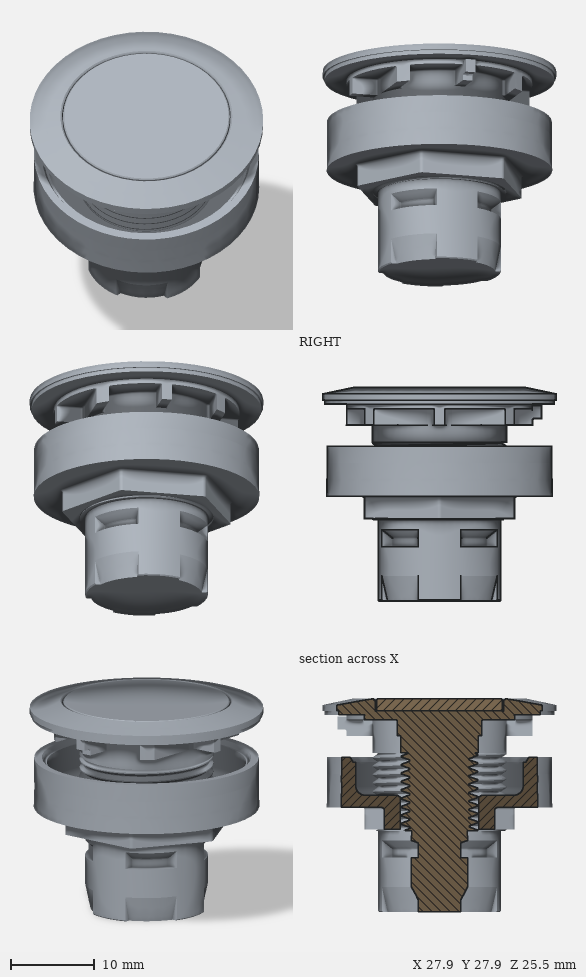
import cadquery as cq
import math

top_z = 25.5
rim_top_z = 24.72
rim_bottom_z = 24.0
head_bottom_z = 23.52
skirt_bottom_z = 22.95
tooth_bottom_z = 21.0
collar_bottom_z = 18.97
thread_bottom_z = 9.68

bezel_radius = 13.95
bezel_top_radius = 10.27
seat_radius = 13.73
skirt_radius = 11.1
collar_radius = 8.0

cap_radius = 9.95
cap_chamfer = 0.15
cap_gap = 0.1
cap_thickness = 1.5

thread_radius = 7.98
thread_pitch = 1.0
thread_depth = 0.55
thread_crest_width = 0.15
thread_root_width = 0.05
thread_crest_z = 18.15
thread_foot_depth = 0.03
root_radius = thread_radius - thread_depth

tooth_width = 1.2
wall_outer_x = 7.87
wall_inner_x = 6.58
pocket_fillet = 0.22
root_fillet = 0.17
tab_reach = 12.2
tab_top_z = 23.35
tab_bottom_z = 21.8
tab_chamfer = 0.17

barrel_radius = 7.35
barrel_chamfer = 0.15
rib_half_width = 2.55
window_top_z = 8.55
window_inner_top_z = 7.53
window_bottom_z = 6.5
window_floor_radius = 6.2
window_fillet = 0.2
ramp_top_z = 3.0
ramp_bottom_radius = 6.7

nut_bottom_z = 9.85
flange_bottom_z = 12.5
flange_floor_z = 13.95
flange_draft_z = 16.45
flange_top_z = 18.5
flange_radius = 13.42
flange_base_radius = 13.48
cup_mouth_radius = 12.5
ledge_outer_radius = 12.2
ledge_z = 17.9
cup_radius = 11.9
cup_floor_fillet = 1.0
hex_across_flats = 17.9
hex_corner_fillet = 0.5
hex_root_fillet = 0.28
bore_radius = 8.0
bore_chamfer = 0.22

beyond = 16.75
pick_margin = 0.03


def revolve_profile(points):
    """Solid of revolution about Z from (radius, height) points."""
    return cq.Workplane("XZ").polyline(points).close().revolve(360, (0, 0, 0), (0, 1, 0))


def disc(radius, bottom, top):
    return cq.Workplane("XY").workplane(offset=bottom).circle(radius).extrude(top - bottom)


def block(x_range, y_range, z_range):
    """Box between the given limits on each axis."""
    sizes = [high - low for low, high in (x_range, y_range, z_range)]
    corner = (x_range[0], y_range[0], z_range[0])
    return cq.Workplane("XY").box(*sizes, centered=False).translate(corner)



def make_cap():
    cap = disc(cap_radius, top_z - cap_thickness, top_z)
    return cap.faces(">Z").edges().chamfer(cap_chamfer)



def make_bezel():
    """Conical bezel with the recess for the cap."""
    recess_radius = cap_radius + cap_gap
    lip = bezel_top_radius - recess_radius
    recess_z = top_z - cap_thickness
    return revolve_profile([
        (0, head_bottom_z),
        (seat_radius, head_bottom_z),
        (seat_radius, rim_bottom_z),
        (bezel_radius, rim_bottom_z),
        (bezel_radius, rim_top_z),
        (bezel_top_radius, top_z),
        (recess_radius, top_z - lip),
        (recess_radius, recess_z),
        (0, recess_z),
    ])


def fillet_pocket(pocket):
    """Round the upright inner corners of a pocket, then its roof edges, leaving the open side sharp."""
    limit = beyond - pick_margin
    inner = cq.selectors.BoxSelector((-limit, -limit, 0), (limit, limit, top_z))
    pocket = pocket.edges("|Z").edges(inner).fillet(pocket_fillet)
    return pocket.faces(">Z").edges(inner).fillet(root_fillet)


def make_pocket(x_range, y_range, x_side, y_side):
    """Space between tooth and wall outside the collar, in the quarter given by the two signs."""
    x_limits = sorted(x_side * x for x in x_range)
    y_limits = sorted(y_side * y for y in y_range)
    pocket = block(x_limits, y_limits, (tooth_bottom_z, skirt_bottom_z))
    return fillet_pocket(pocket.cut(disc(collar_radius, tooth_bottom_z, skirt_bottom_z)))


def make_skirt():
    """Skirt over the collar, cut below by eight pockets into four teeth and two straight walls."""
    half_tooth = tooth_width / 2
    inside_wall = ((half_tooth, wall_inner_x), (0, beyond))
    outside_wall = ((wall_outer_x, beyond), (half_tooth, beyond))
    skirt = disc(skirt_radius, tooth_bottom_z, head_bottom_z)
    for x_side in (-1, 1):
        for y_side in (-1, 1):
            for x_range, y_range in (inside_wall, outside_wall):
                skirt = skirt.cut(make_pocket(x_range, y_range, x_side, y_side))
    return skirt.union(disc(collar_radius, collar_bottom_z, skirt_bottom_z))


def make_tab():
    """Locating tab on the tooth that points along +Y, with a small chamfer under its root."""
    return (
        cq.Workplane("YZ")
        .polyline([
            (collar_radius, tab_bottom_z - tab_chamfer),
            (skirt_radius, tab_bottom_z - tab_chamfer),
            (skirt_radius + tab_chamfer, tab_bottom_z),
            (tab_reach, tab_bottom_z),
            (tab_reach, tab_top_z),
            (collar_radius, tab_top_z),
        ])
        .close()
        .extrude(tooth_width / 2, both=True)
    )


def thread_turn():
    """One right-hand turn of the V ridge, its foot sunk slightly into the root cylinder."""
    half_root = (thread_pitch - thread_root_width) / 2
    half_crest = thread_crest_width / 2
    foot_radius = root_radius - thread_foot_depth
    path = cq.Wire.makeHelix(thread_pitch, thread_pitch, root_radius)
    return (
        cq.Workplane("XZ")
        .polyline([
            (foot_radius, -half_root),
            (thread_radius, -half_crest),
            (thread_radius, half_crest),
            (foot_radius, half_root),
        ])
        .close()
        .sweep(cq.Workplane(path), isFrenet=True)
    )


def add_thread(body):
    """Wind the ridge up the root cylinder, trimmed at the bottom and running into the collar on top."""
    body = body.union(disc(root_radius, thread_bottom_z, collar_bottom_z))
    below_thread = disc(beyond, 0, thread_bottom_z)
    turn = thread_turn()
    turns_down = math.ceil((thread_crest_z - thread_bottom_z + thread_pitch / 2) / thread_pitch)
    turns_up = math.ceil((collar_bottom_z - thread_crest_z + thread_pitch / 2) / thread_pitch)
    for index in range(-turns_down, turns_up):
        start_z = thread_crest_z + index * thread_pitch
        ridge = turn.translate((0, 0, start_z))
        if start_z - thread_pitch < thread_bottom_z:
            ridge = ridge.cut(below_thread)
        body = body.union(ridge, clean=False)
    return body


def corner_region(bottom, top):
    """Quarter outside the ribs, on the +X +Y diagonal."""
    return block((rib_half_width, beyond), (rib_half_width, beyond), (bottom, top))


def window_cutter():
    """Snap window with a sloping roof and a round floor."""
    slope = (window_top_z - window_inner_top_z) / (barrel_radius - window_floor_radius)
    ring = revolve_profile([
        (window_floor_radius, window_bottom_z),
        (beyond, window_bottom_z),
        (beyond, window_top_z + slope * (beyond - barrel_radius)),
        (window_floor_radius, window_inner_top_z),
    ])
    window = ring.intersect(corner_region(window_bottom_z, top_z))
    floor_arc = cq.selectors.BoxSelector(
        (0, 0, window_bottom_z + pick_margin),
        (window_floor_radius, window_floor_radius, window_inner_top_z + pick_margin),
    )
    return window.edges(floor_arc).fillet(window_fillet)


def ramp_cutter():
    """Material outside the lead-in cone at the bottom of the barrel."""
    ring = revolve_profile([
        (ramp_bottom_radius, 0),
        (beyond, 0),
        (beyond, ramp_top_z),
        (barrel_radius, ramp_top_z),
    ])
    return ring.intersect(corner_region(0, ramp_top_z))


def make_barrel():
    barrel = disc(barrel_radius, 0, thread_bottom_z)
    barrel = barrel.faces("<Z").edges().chamfer(barrel_chamfer)
    for cutter in (window_cutter(), ramp_cutter()):
        for quarter in range(4):
            barrel = barrel.cut(cutter.rotate((0, 0, 0), (0, 0, 1), 90 * quarter))
    return barrel


def make_operator():
    head = make_bezel().union(make_skirt()).union(make_tab())
    return add_thread(head.union(make_barrel()))



def make_nut():
    hex_diameter = hex_across_flats / math.cos(math.pi / 6)
    hexagon = (
        cq.Workplane("XY")
        .workplane(offset=nut_bottom_z)
        .polygon(6, hex_diameter)
        .extrude(flange_bottom_z - nut_bottom_z)
        .edges("|Z")
        .fillet(hex_corner_fillet)
    )
    flange = revolve_profile([
        (0, flange_bottom_z),
        (flange_base_radius, flange_bottom_z),
        (flange_radius, flange_draft_z),
        (flange_radius, flange_top_z),
        (0, flange_top_z),
    ])
    joint = cq.selectors.BoxSelector(
        (-flange_radius, -flange_radius, flange_bottom_z - pick_margin),
        (flange_radius, flange_radius, flange_bottom_z + pick_margin),
        boundingbox=True,
    )
    nut = hexagon.union(flange).edges(joint).fillet(hex_root_fillet)
    return nut.cut(make_cup()).cut(make_bore())


def make_bore():
    """Clearance bore round the thread, countersunk at the floor of the cup."""
    return revolve_profile([
        (0, nut_bottom_z),
        (bore_radius, nut_bottom_z),
        (bore_radius, flange_floor_z - bore_chamfer),
        (bore_radius + bore_chamfer, flange_floor_z),
        (0, flange_floor_z),
    ])


def make_cup():
    """Hollow of the flange: chamfered mouth, narrow ledge, straight wall, rounded floor."""
    fillet_middle = cup_floor_fillet * (1 - math.sqrt(0.5))
    return (
        cq.Workplane("XZ")
        .moveTo(0, flange_floor_z)
        .lineTo(cup_radius - cup_floor_fillet, flange_floor_z)
        .threePointArc(
            (cup_radius - fillet_middle, flange_floor_z + fillet_middle),
            (cup_radius, flange_floor_z + cup_floor_fillet),
        )
        .lineTo(cup_radius, ledge_z)
        .lineTo(ledge_outer_radius, ledge_z)
        .lineTo(cup_mouth_radius, flange_top_z)
        .lineTo(0, flange_top_z)
        .close()
        .revolve(360, (0, 0, 0), (0, 1, 0))
    )


cap = make_cap()
operator = make_operator()
nut = make_nut()
result = cq.Compound.makeCompound([cap.val(), operator.solids().val(), nut.solids().val()])